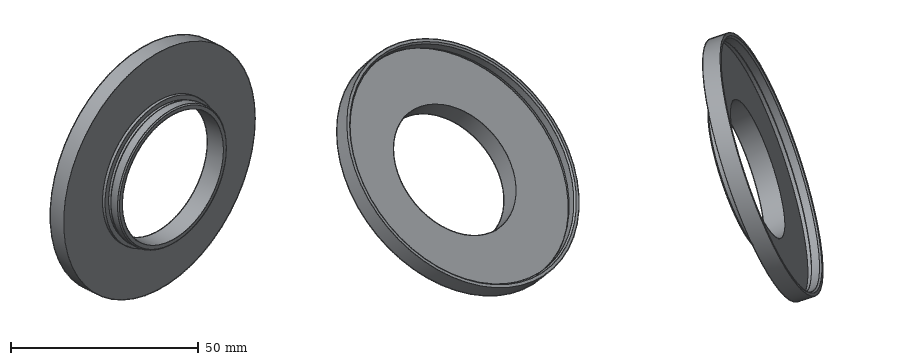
import cadquery as cq

flange_end = 5.0
collar_end = 6.0
neck_end = 6.8
overall_length = 10.0

flange_diameter = 74.0
collar_diameter = 44.0
neck_diameter = 41.3
spigot_diameter = 42.0

bore_diameter = 39.0

recess_diameter = 71.25
recess_depth = 4.0
relief_diameter = 72.2
relief_width = 1.2

spigot_bevel = (spigot_diameter - neck_diameter) / 2
mouth_bevel = (relief_diameter - recess_diameter) / 2

outer_corners = [
    (0, flange_diameter),
    (flange_end, flange_diameter),
    (flange_end, collar_diameter),
    (collar_end, collar_diameter),
    (collar_end, neck_diameter),
    (neck_end, neck_diameter),
    (neck_end + spigot_bevel, spigot_diameter),
    (overall_length - spigot_bevel, spigot_diameter),
    (overall_length, neck_diameter),
]
inner_corners = [
    (overall_length, bore_diameter),
    (recess_depth, bore_diameter),
    (recess_depth, relief_diameter),
    (recess_depth - relief_width, relief_diameter),
    (recess_depth - relief_width, recess_diameter),
    (mouth_bevel, recess_diameter),
    (0, relief_diameter),
]


def revolve_about_x(corners):
    """Turn a half section around the X axis, centred on the origin along X."""
    points = [(distance - overall_length / 2, diameter / 2) for distance, diameter in corners]
    section = cq.Workplane("XY").polyline(points).close()
    return section.revolve(360, (0, 0, 0), (1, 0, 0))


result = revolve_about_x(outer_corners + inner_corners)